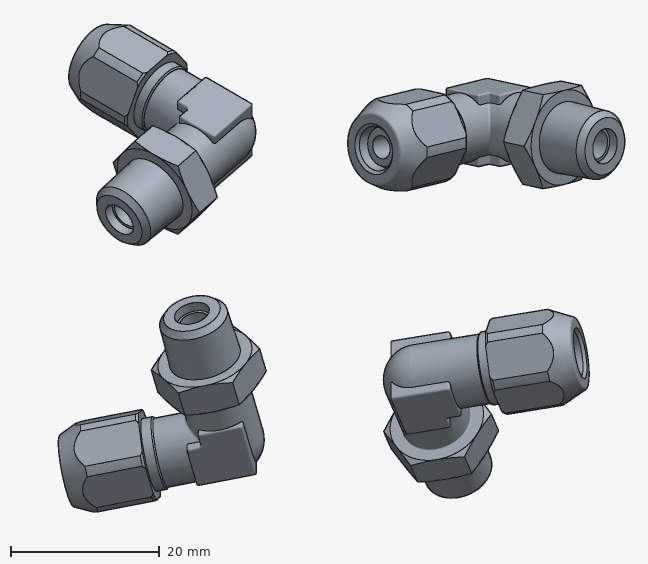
import cadquery as cq
import math


arm_radius = 4.75
inner_corner_radius = 0.3

pad_half_height = 5.0
pad_half_width = 3.1
pad_reach = 5.15
pad_edge_radius = 0.3

collar_radius = 5.0
collar_end = 9.4
collar_chamfer = 0.2

nut_face = 22.5
nut_length = 11.5
nut_flats = 12.0
nut_radius = 6.55
nut_nose_radius = 4.91
nut_nose_angle = 25.0
nut_nose_edge_radius = 0.4
nut_back_radius = 6.35
nut_back_chamfer = 0.35

socket_radius = 3.05
socket_depth = 2.5
socket_chamfer = 0.43
sleeve_radius = 2.73
sleeve_tip_depth = 1.5
sleeve_tip_radius = 0.35

hex_start = 9.5
hex_end = 14.0
hex_flats = 13.0
hex_chamfer_angle = 20.0
hex_root_radius = 0.15
thread_end = 21.5
thread_root_radius = 4.91
thread_taper = 1 / 16
thread_chamfer_length = 0.9
thread_tip_radius = 3.92

tube_bore_radius = 1.6
thread_bore_radius = 2.0
thread_bore_top = 1.6
drill_point_angle = 118.0
counterbore_radius = 2.4
counterbore_depth = 1.4


def corner_radius(across_flats):
    """Centre-to-corner distance of a hexagon."""
    return across_flats / math.sqrt(3)


def turned_about_x(points):
    """Solid turned about the X axis from (distance along -X, radius) points."""
    profile = [(-along, radius) for along, radius in points]
    return cq.Workplane("XY").polyline(profile).close().revolve(360, (0, 0, 0), (1, 0, 0))


def turned_about_y(points):
    """Solid turned about the Y axis from (distance along -Y, radius) points."""
    profile = [(radius, -along) for along, radius in points]
    return cq.Workplane("XY").polyline(profile).close().revolve(360, (0, 0, 0), (0, 1, 0))


def make_elbow():
    """Two round arms with a ball at the outer corner and a softened inner corner."""
    tube_arm = turned_about_x([(0, 0), (0, arm_radius), (collar_end, arm_radius), (collar_end, 0)])
    thread_arm = turned_about_y([(0, 0), (0, arm_radius), (hex_start, arm_radius), (hex_start, 0)])
    ball = cq.Workplane("XY").sphere(arm_radius)
    inner_corner = cq.selectors.NearestToPointSelector((-arm_radius, -arm_radius, 0))
    arms = tube_arm.union(thread_arm).edges(inner_corner).fillet(inner_corner_radius)
    return arms.union(ball)


def make_pad():
    """L-shaped block whose faces stand proud above and below the elbow."""
    outline = [
        (pad_half_width, pad_half_width),
        (-pad_reach, pad_half_width),
        (-pad_reach, -pad_half_width),
        (-pad_half_width, -pad_half_width),
        (-pad_half_width, -pad_reach),
        (pad_half_width, -pad_reach),
    ]
    block = cq.Workplane("XY").polyline(outline).close().extrude(pad_half_height, both=True)
    return block.edges().fillet(pad_edge_radius)


def make_collar():
    nut_back = nut_face - nut_length
    return turned_about_x([
        (nut_back, 0),
        (nut_back, collar_radius),
        (collar_end + collar_chamfer, collar_radius),
        (collar_end, collar_radius - collar_chamfer),
        (collar_end, 0),
    ])


def make_nut():
    """Hexagon with rounded-off corners, a conical nose and a small bevel at the back."""
    nut_back = nut_face - nut_length
    nose_length = (nut_radius - nut_nose_radius) / math.tan(math.radians(nut_nose_angle))
    envelope = turned_about_x([
        (nut_face, 0),
        (nut_face, nut_nose_radius),
        (nut_face - nose_length, nut_radius),
        (nut_back + nut_back_chamfer, nut_radius),
        (nut_back, nut_back_radius),
        (nut_back, 0),
    ])
    envelope = envelope.faces("<X").edges().fillet(nut_nose_edge_radius)
    hexagon = (
        cq.Workplane("YZ", origin=(-nut_face, 0, 0))
        .polygon(6, 2 * corner_radius(nut_flats))
        .extrude(nut_length)
    )
    return hexagon.intersect(envelope)


def make_socket():
    """Chamfered socket space in the nut, leaving the round-tipped sleeve standing."""
    socket = turned_about_x([
        (nut_face, 0),
        (nut_face, socket_radius + socket_chamfer),
        (nut_face - socket_chamfer, socket_radius),
        (nut_face - socket_depth, socket_radius),
        (nut_face - socket_depth, 0),
    ])
    sleeve_tip = nut_face - sleeve_tip_depth
    sleeve = turned_about_x([
        (sleeve_tip, 0),
        (sleeve_tip, sleeve_radius),
        (nut_face - socket_depth, sleeve_radius),
        (nut_face - socket_depth, 0),
    ])
    sleeve = sleeve.faces("<X").edges().fillet(sleeve_tip_radius)
    return socket.cut(sleeve)


def make_hexagon():
    """Wrench hexagon with its corners bevelled at both ends."""
    bevel_radius = hex_flats / 2
    corner = corner_radius(hex_flats)
    bevel = (corner - bevel_radius) * math.tan(math.radians(hex_chamfer_angle))
    envelope = turned_about_y([
        (hex_start, 0),
        (hex_start, bevel_radius),
        (hex_start + bevel, corner),
        (hex_end - bevel, corner),
        (hex_end, bevel_radius),
        (hex_end, 0),
    ])
    hexagon = (
        cq.Workplane("XZ", origin=(0, -hex_start, 0))
        .polygon(6, 2 * corner)
        .extrude(hex_end - hex_start)
    )
    return hexagon.intersect(envelope)


def make_hexagon_root():
    """Small concave round where the thread arm runs into the hexagon."""
    root_end = hex_start - hex_root_radius
    profile = (
        cq.Workplane("XY")
        .moveTo(0, -root_end)
        .lineTo(arm_radius, -root_end)
        .radiusArc((arm_radius + hex_root_radius, -hex_start), -hex_root_radius)
        .lineTo(0, -hex_start)
        .close()
    )
    return profile.revolve(360, (0, 0, 0), (0, 1, 0))


def make_thread():
    """Tapered thread body, drawn plain, with a bevelled tip."""
    taper_end = thread_end - thread_chamfer_length
    taper_end_radius = thread_root_radius - (taper_end - hex_end) * thread_taper / 2
    return turned_about_y([
        (hex_end, 0),
        (hex_end, thread_root_radius),
        (taper_end, taper_end_radius),
        (thread_end, thread_tip_radius),
        (thread_end, 0),
    ])


def make_tube_bore():
    return turned_about_x([(0, 0), (0, tube_bore_radius), (nut_face, tube_bore_radius), (nut_face, 0)])


def make_thread_bore():
    """Stepped blind bore with a drill point just past the tube bore."""
    point_length = thread_bore_radius / math.tan(math.radians(drill_point_angle / 2))
    step = thread_end - counterbore_depth
    return turned_about_y([
        (thread_end, 0),
        (thread_end, counterbore_radius),
        (step, counterbore_radius),
        (step, thread_bore_radius),
        (-thread_bore_top, thread_bore_radius),
        (-thread_bore_top - point_length, 0),
    ])


body = make_elbow()
for piece in (make_pad(), make_collar(), make_nut(), make_hexagon(), make_hexagon_root(), make_thread()):
    body = body.union(piece)
for hollow in (make_socket(), make_tube_bore(), make_thread_bore()):
    body = body.cut(hollow)

result = body